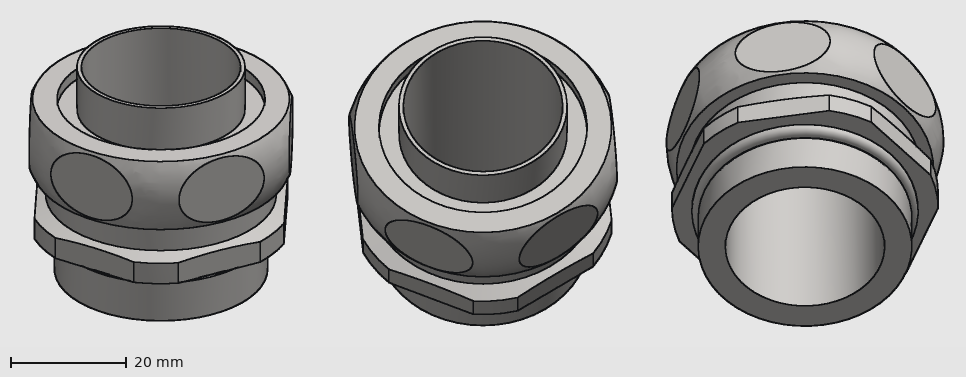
import cadquery as cq

spigot_top = 8.05
seal_bottom = 8.15
flange_bottom = 9.95
flange_top = 14.8
nut_bottom = 20.2
nut_top = 33.7
recess_depth = 2.05
total_height = 40.0

bore_radius = 13.8
tube_radius = 14.55
spigot_radius = 18.5
spigot_chamfer = 0.55
body_radius = 19.95

seal_section_radius = 1.2
seal_outer_radius = 19.6

flange_across_flats = 43.2
flange_radius = 23.05
flange_rim_top = 13.95

nut_across_flats = 45.0
nut_radius = 24.0
nut_end_radius = 22.2
recess_radius = 18.0

flat_turn = 90


def cylinder(radius, bottom, top):
    return cq.Workplane("XY").workplane(offset=bottom).circle(radius).extrude(top - bottom)


def hexagon(across_flats, bottom, top):
    """Hexagonal prism with two of its flats facing along X."""
    return (
        cq.Workplane("XY")
        .workplane(offset=bottom)
        .polygon(6, across_flats, circumscribed=True)
        .extrude(top - bottom)
    )


def revolve_about_z(profile):
    return profile.close().revolve(360, (0, 0, 0), (0, 1, 0))


def make_spigot():
    blank = cylinder(spigot_radius, 0, spigot_top)
    neck = cylinder(spigot_radius - spigot_chamfer, spigot_top, flange_bottom)
    return blank.faces(">Z").chamfer(spigot_chamfer).union(neck)


def make_seal():
    """Round-edged disc just above the spigot, with its upper part buried in the flange."""
    section_centre = seal_outer_radius - seal_section_radius
    mid_height = seal_bottom + seal_section_radius
    top = mid_height + seal_section_radius
    return revolve_about_z(
        cq.Workplane("XZ")
        .moveTo(0, seal_bottom)
        .lineTo(section_centre, seal_bottom)
        .threePointArc((seal_outer_radius, mid_height), (section_centre, top))
        .lineTo(0, top)
    )


def make_flange():
    turned_blank = revolve_about_z(
        cq.Workplane("XZ")
        .moveTo(0, flange_bottom)
        .lineTo(flange_radius, flange_bottom)
        .lineTo(flange_radius, flange_rim_top)
        .lineTo(body_radius, flange_top)
        .lineTo(0, flange_top)
    )
    return turned_blank.intersect(hexagon(flange_across_flats, flange_bottom, flange_top))


def make_nut():
    barrel = revolve_about_z(
        cq.Workplane("XZ")
        .moveTo(0, nut_bottom)
        .lineTo(nut_end_radius, nut_bottom)
        .threePointArc((nut_radius, (nut_bottom + nut_top) / 2), (nut_end_radius, nut_top))
        .lineTo(0, nut_top)
    )
    recess_floor = nut_top - recess_depth
    recess = cylinder(recess_radius, recess_floor, nut_top)
    return barrel.intersect(hexagon(nut_across_flats, nut_bottom, nut_top)).cut(recess)


body = cylinder(body_radius, flange_top, nut_bottom)
tube = cylinder(tube_radius, nut_bottom, total_height)
bore = cylinder(bore_radius, 0, total_height)

result = (
    make_spigot()
    .union(make_seal())
    .union(make_flange())
    .union(body)
    .union(make_nut())
    .union(tube)
    .cut(bore)
    .rotate((0, 0, 0), (0, 0, 1), flat_turn)
)